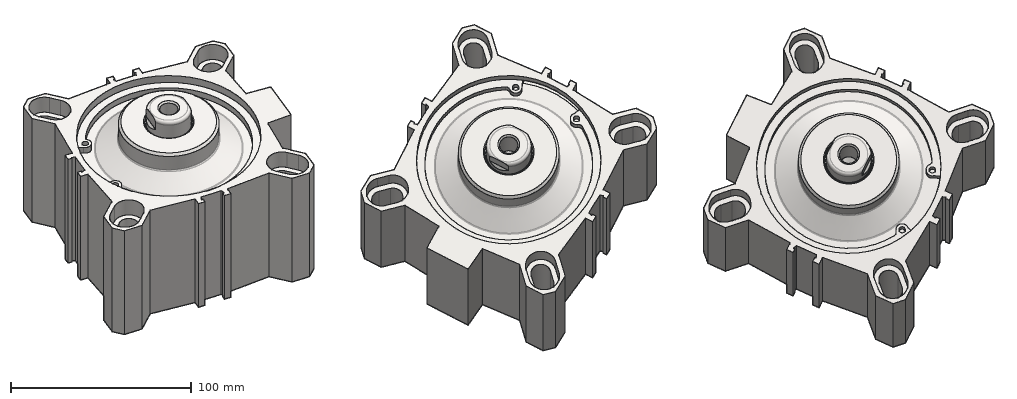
import cadquery as cq
import math

BODY_HEIGHT = 76.0
EAR_SQUARE = 124.0
OVERALL_DEPTH = 131.0
EAR_CHAMFER = 5.1
EAR_SHOULDER = 46.1
EAR_ROOT = 52.4
SIDE_DISTANCE = 54.5
LUG_TIP_WIDTH = 26.2
LUG_ROOT_WIDTH = 27.8

RAIL_REACH = 59.0
RAIL_OUTER = 10.0
RAIL_INNER = 6.0
RAIL_UNDERCUT_DEPTH = 0.8
RAIL_ROOT_UNDERCUT = 0.1
RAIL_HOOK_START = 56.5

SLOT_OFFSET = 49.4
SLOT_CENTER_SPACING = 6.5
SLOT_WIDTH = 11.0
COUNTERBORE_WIDTH = 17.0
COUNTERBORE_DEPTH = 11.0

BORE_DIAMETER = 102.2
COVER_TOP = 67.0
COVER_THICKNESS = 20.0
RING_THICKNESS = 4.0
RING_OUTER_DIAMETER = 106.2
RING_INNER_DIAMETER = 93.0
RING_GAP_HALF_WIDTH = 18.1
EYE_X = 19.4
EYE_Y = -42.0
EYE_DIAMETER = 7.0
EYE_HOLE_DIAMETER = 3.5
EYE_NECK_RADIUS = 2.6

CONE_DIAMETER = 82.0
CONE_RISE = 7.7
COLLAR_DIAMETER = 56.0
COLLAR_TOP = 86.5
COLLAR_CHAMFER = 1.5
BLEND_RADIUS = 1.0
SEAL_MOUTH_DIAMETER = 28.0
SEAL_DIAMETER = 26.9
WIPER_DIAMETER = 25.5
SEAL_DEPTH = 1.3
WIPER_DEPTH = 2.6

ROD_DIAMETER = 25.0
ROD_TOP = 96.5
ROD_ROUNDING = 2.0
FLAT_SPACING = 22.0
FLAT_LENGTH = 7.1
SOCKET_DIAMETER = 10.1
SOCKET_MOUTH_DIAMETER = 12.0
SOCKET_DEPTH = 19.6
DRILL_POINT_ANGLE = 118.0

HALF_WIDTH = EAR_SQUARE / 2
LUG_REACH = OVERALL_DEPTH - HALF_WIDTH
EAR_TIP = HALF_WIDTH - EAR_CHAMFER
EAR_ROOT_ALONG = EAR_SHOULDER - (HALF_WIDTH - EAR_ROOT)
BORE_FLOOR = COVER_TOP - COVER_THICKNESS
TOLERANCE = 0.01


def mirrored(points):
    """Points of one half of a symmetric outline, followed by their mirror images in reverse."""
    return points + [(-x, y) for x, y in reversed(points)]


def housing_core():
    """Prism with four sides that slope gently to the ears, and a chamfered ear on each corner."""
    upper_right = [
        (RAIL_OUTER, SIDE_DISTANCE),
        (EAR_ROOT_ALONG, EAR_ROOT),
        (EAR_SHOULDER, HALF_WIDTH),
        (EAR_TIP, HALF_WIDTH),
        (HALF_WIDTH, EAR_TIP),
        (HALF_WIDTH, EAR_SHOULDER),
        (EAR_ROOT, EAR_ROOT_ALONG),
        (SIDE_DISTANCE, RAIL_OUTER),
    ]
    lower_right = [(x, -y) for x, y in reversed(upper_right)]
    return cq.Workplane("XY").polyline(mirrored(upper_right + lower_right)).close().extrude(BODY_HEIGHT)


def lug():
    """Tapered block standing out on the +Y side over the full height."""
    half_outline = [
        (LUG_ROOT_WIDTH / 2, EAR_ROOT),
        (LUG_ROOT_WIDTH / 2, SIDE_DISTANCE),
        (LUG_TIP_WIDTH / 2, LUG_REACH),
    ]
    return cq.Workplane("XY").polyline(mirrored(half_outline)).close().extrude(BODY_HEIGHT)


def rail_pair():
    """Two undercut sensor rails on the -Y side."""
    outline = [
        (RAIL_OUTER, -EAR_ROOT),
        (RAIL_OUTER, -RAIL_REACH),
        (RAIL_INNER, -RAIL_REACH),
        (RAIL_INNER, -RAIL_HOOK_START),
        (RAIL_INNER + RAIL_UNDERCUT_DEPTH, -RAIL_HOOK_START),
        (RAIL_INNER + RAIL_ROOT_UNDERCUT, -SIDE_DISTANCE),
        (RAIL_INNER + RAIL_ROOT_UNDERCUT, -EAR_ROOT),
    ]
    rail = cq.Workplane("XY").polyline(outline).close().extrude(BODY_HEIGHT)
    return rail.union(rail.mirror("YZ"))


def corner_slots():
    """Counterbored slots through the four ears, as cutting tools."""
    slots = cq.Workplane("XY")
    for x_side in (-1, 1):
        for y_side in (-1, 1):
            center = (x_side * SLOT_OFFSET, y_side * SLOT_OFFSET)
            diagonal = 45 * x_side * y_side
            through = (
                cq.Workplane("XY").center(*center)
                .slot2D(SLOT_CENTER_SPACING + SLOT_WIDTH, SLOT_WIDTH, diagonal)
                .extrude(BODY_HEIGHT)
            )
            counterbore = (
                cq.Workplane("XY").workplane(offset=BODY_HEIGHT - COUNTERBORE_DEPTH).center(*center)
                .slot2D(SLOT_CENTER_SPACING + COUNTERBORE_WIDTH, COUNTERBORE_WIDTH, diagonal)
                .extrude(COUNTERBORE_DEPTH)
            )
            slots = slots.add(through.union(counterbore))
    return slots.combine()


def cylinder(diameter, bottom, top):
    return cq.Workplane("XY").workplane(offset=bottom).circle(diameter / 2).extrude(top - bottom)


def make_housing():
    body = housing_core().union(lug())
    for angle in (0, 90, -90):
        body = body.union(rail_pair().rotate((0, 0, 0), (0, 0, 1), angle))
    bore = cylinder(BORE_DIAMETER, BORE_FLOOR, BODY_HEIGHT)
    ring_groove = cylinder(RING_OUTER_DIAMETER, COVER_TOP, COVER_TOP + RING_THICKNESS)
    return body.cut(bore).cut(ring_groove).cut(corner_slots())


def make_cover():
    """Turned cover: flat rim, cone and collar, with a stepped hole that guides the rod."""
    rod_radius = ROD_DIAMETER / 2
    mouth_chamfer = (SEAL_MOUTH_DIAMETER - SEAL_DIAMETER) / 2
    cone_foot = (CONE_DIAMETER / 2, COVER_TOP)
    cone_head = (COLLAR_DIAMETER / 2, COVER_TOP + CONE_RISE)
    profile = [
        (rod_radius, BORE_FLOOR),
        (BORE_DIAMETER / 2, BORE_FLOOR),
        (BORE_DIAMETER / 2, COVER_TOP),
        cone_foot,
        cone_head,
        (COLLAR_DIAMETER / 2, COLLAR_TOP - COLLAR_CHAMFER),
        (COLLAR_DIAMETER / 2 - COLLAR_CHAMFER, COLLAR_TOP),
        (SEAL_MOUTH_DIAMETER / 2, COLLAR_TOP),
        (SEAL_DIAMETER / 2, COLLAR_TOP - mouth_chamfer),
        (SEAL_DIAMETER / 2, COLLAR_TOP - SEAL_DEPTH),
        (WIPER_DIAMETER / 2, COLLAR_TOP - SEAL_DEPTH),
        (WIPER_DIAMETER / 2, COLLAR_TOP - WIPER_DEPTH),
        (rod_radius, COLLAR_TOP - WIPER_DEPTH),
    ]
    cover = cq.Workplane("XZ").polyline(profile).close().revolve(360, (0, 0, 0), (0, 1, 0))

    def is_cone_edge(edge):
        return any(
            math.isclose(edge.radius(), radius, abs_tol=TOLERANCE)
            and math.isclose(edge.Center().z, height, abs_tol=TOLERANCE)
            for radius, height in (cone_foot, cone_head)
        )

    return cover.edges("%CIRCLE").filter(is_cone_edge).fillet(BLEND_RADIUS)


def ring_plane():
    return cq.Workplane("XY").workplane(offset=COVER_TOP)


def ring_gap():
    """Opening between the ring ends, widening towards the bore wall, as a cutting tool."""
    bore_radius = BORE_DIAMETER / 2
    half_outline = [
        (EYE_X - EYE_DIAMETER / 2, EYE_Y),
        (RING_GAP_HALF_WIDTH, -math.sqrt(bore_radius ** 2 - RING_GAP_HALF_WIDTH ** 2)),
        (RING_GAP_HALF_WIDTH, -RING_OUTER_DIAMETER / 2),
    ]
    return ring_plane().polyline(mirrored(half_outline)).close().extrude(RING_THICKNESS)


def make_retaining_ring():
    """Open ring with an eye at each end for the pliers."""
    eye_points = [(-EYE_X, EYE_Y), (EYE_X, EYE_Y)]
    ring = (
        ring_plane().circle(RING_OUTER_DIAMETER / 2).circle(RING_INNER_DIAMETER / 2)
        .extrude(RING_THICKNESS)
    )
    eyes = ring_plane().pushPoints(eye_points).circle(EYE_DIAMETER / 2).extrude(RING_THICKNESS)
    holes = ring_plane().pushPoints(eye_points).circle(EYE_HOLE_DIAMETER / 2).extrude(RING_THICKNESS)

    def is_neck_edge(edge):
        """An upright edge where the inner wall of the ring runs into an eye."""
        center = edge.Center()
        distance_to_eye = math.hypot(abs(center.x) - EYE_X, center.y - EYE_Y)
        on_eye = math.isclose(distance_to_eye, EYE_DIAMETER / 2, abs_tol=TOLERANCE)
        return on_eye and abs(center.x) > EYE_X

    ring = ring.cut(ring_gap()).union(eyes)
    return ring.edges("|Z").filter(is_neck_edge).fillet(EYE_NECK_RADIUS).cut(holes)


def rod_socket():
    """Blind hole with a chamfered mouth and a drill point, as a cutting tool."""
    radius = SOCKET_DIAMETER / 2
    mouth_radius = SOCKET_MOUTH_DIAMETER / 2
    floor = ROD_TOP - SOCKET_DEPTH
    point_depth = radius / math.tan(math.radians(DRILL_POINT_ANGLE / 2))
    profile = [
        (0, floor - point_depth),
        (radius, floor),
        (radius, ROD_TOP - (mouth_radius - radius)),
        (mouth_radius, ROD_TOP),
        (0, ROD_TOP),
    ]
    return cq.Workplane("XZ").polyline(profile).close().revolve(360, (0, 0, 0), (0, 1, 0))


def wrench_flats():
    """Two flats with a 45-degree run-out at their lower ends, as cutting tools."""
    flat_y = FLAT_SPACING / 2
    outer_y = ROD_DIAMETER / 2 + ROD_ROUNDING
    flat_bottom = ROD_TOP - FLAT_LENGTH
    profile = [
        (flat_y, ROD_TOP),
        (flat_y, flat_bottom),
        (outer_y, flat_bottom - (outer_y - flat_y)),
        (outer_y, ROD_TOP),
    ]
    flat = cq.Workplane("YZ").polyline(profile).close().extrude(ROD_DIAMETER / 2, both=True)
    return flat.union(flat.mirror("XZ"))


def make_rod():
    rod = cylinder(ROD_DIAMETER, BORE_FLOOR, ROD_TOP).faces(">Z").edges().fillet(ROD_ROUNDING)
    return rod.cut(wrench_flats()).cut(rod_socket())


housing = make_housing()
cover = make_cover()
retaining_ring = make_retaining_ring()
rod = make_rod()

result = cq.Compound.makeCompound([housing.val(), cover.val(), retaining_ring.val(), rod.val()])